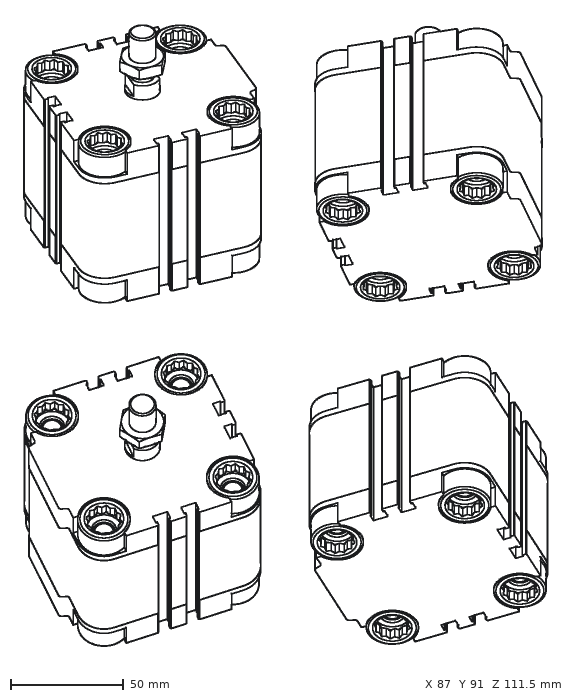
import cadquery as cq
import math


total_height = 111.5
housing_width = 87.0
housing_height = 80.1
corner_radius = 12.5
half_width = housing_width / 2

cap_height = 14.5
barrel_setback = 0.1

rail_height = 4.0
rail_base_width = 39.7
rail_top_width = 37.2
rail_edge_radius = 1.6
rail_root_radius = 1.1

slot_offset = 6.8
slot_opening = 5.6
slot_width = 7.0
slot_depth = 5.6
slot_lip = 2.0
slot_edge_chamfer = 0.5

boss_offset = half_width - corner_radius
boss_diameter = 23.4
boss_height = 11.4
boss_chamfer_width = 1.0
boss_chamfer_height = 0.8
notch_reach = 5.7

socket_tip_diameter = 16.0
socket_mouth_diameter = 17.6
socket_mouth_depth = 1.0
socket_star_depth = 5.8
socket_floor_diameter = 16.5
socket_depth = 8.1
socket_hexagons = 2
screw_hole_diameter = 8.4
counterbore_mouth_diameter = 11.0
counterbore_floor_diameter = 9.8
counterbore_depth = 1.1

rod_diameter = 16.0
rod_shoulder_z = 87.6
rod_flat_width = 12.5
rod_flat_z = 81.4
neck_diameter = 10.5
thread_diameter = 12.0
thread_start_z = 90.2
thread_chamfer = 0.8

nut_across_flats = 19.0
nut_chamfer_diameter = 18.8
nut_bottom_z = 92.4
nut_thickness = 6.0
nut_chamfer_angle = 20

hex_corner_ratio = 1 / math.cos(math.radians(30))


def frustum(bottom_diameter, top_diameter, height):
    """Truncated cone standing on the origin."""
    return cq.Workplane(cq.Solid.makeCone(bottom_diameter / 2, top_diameter / 2, height))


def make_profile():
    """Rounded square block with the raised rail along its +Y side."""
    block = (
        cq.Workplane("XY")
        .rect(housing_width, housing_width)
        .extrude(housing_height)
        .edges("|Z")
        .fillet(corner_radius)
    )
    rail_top = half_width + rail_height
    rail = (
        cq.Workplane("XY")
        .polyline(
            [
                (-rail_base_width / 2, 0),
                (-rail_base_width / 2, half_width),
                (-rail_top_width / 2, rail_top),
                (rail_top_width / 2, rail_top),
                (rail_base_width / 2, half_width),
                (rail_base_width / 2, 0),
            ]
        )
        .close()
        .extrude(housing_height)
    )
    rail = rail.edges("|Z and >Y").fillet(rail_edge_radius)
    profile = block.union(rail)
    for side in (-1, 1):
        root_point = (side * rail_base_width / 2, half_width, housing_height / 2)
        root = cq.selectors.NearestToPointSelector(root_point)
        profile = profile.edges("|Z").edges(root).fillet(rail_root_radius)
    return profile


def make_barrel_relief():
    """Cutter for the thin skin that sets the barrel back from the end caps."""
    profile = make_profile()
    barrel = cq.Workplane(profile.faces("<Z").val()).wires().toPending().offset2D(-barrel_setback)
    barrel = barrel.extrude(housing_height)
    middle = (
        cq.Workplane("XY", origin=(0, 0, cap_height))
        .rect(2 * housing_width, 2 * housing_width)
        .extrude(housing_height - 2 * cap_height)
    )
    return middle.cut(barrel)


def make_slot(center_x):
    """Cutter for one T-slot in the -Y side."""
    mouth = slot_opening / 2 + slot_edge_chamfer
    neck = slot_opening / 2
    base = slot_width / 2
    outer = -half_width
    lip = outer + slot_lip
    floor = outer + slot_depth
    right_half = [
        (mouth, outer),
        (neck, outer + slot_edge_chamfer),
        (neck, lip),
        (base, lip),
        (base, floor),
    ]
    left_half = [(-x, y) for x, y in reversed(right_half)]
    slot = cq.Workplane("XY").polyline(right_half + left_half).close().extrude(housing_height)
    return slot.translate((center_x, 0, 0))


def make_boss_relief():
    """Cutter that leaves a chamfered round boss at the top end of the (+X, +Y) corner."""
    reach = boss_diameter
    notch_size = notch_reach + reach
    notch_center = (notch_reach - reach) / 2
    block = (
        cq.Workplane("XY")
        .rect(notch_size, notch_size)
        .extrude(boss_height)
        .translate((-notch_center, -notch_center, 0))
    )
    bore = cq.Workplane("XY").circle(boss_diameter / 2).extrude(boss_height)
    quadrant = block.cut(bore)

    crown = cq.Workplane("XY").circle(boss_diameter / 2).extrude(boss_chamfer_height)
    crown = crown.cut(frustum(boss_diameter, boss_diameter - 2 * boss_chamfer_width, boss_chamfer_height))
    crown = crown.translate((0, 0, boss_height - boss_chamfer_height))

    relief = quadrant.union(crown)
    return relief.translate((boss_offset, boss_offset, housing_height - boss_height))


def make_socket():
    """Cutter for the twelve-point socket at the top end of the (+X, +Y) corner."""
    socket = (
        cq.Workplane("XY")
        .circle(socket_floor_diameter / 2)
        .extrude(socket_depth - socket_star_depth)
    )
    for i in range(socket_hexagons):
        hexagon = cq.Workplane("XY").polygon(6, socket_tip_diameter).extrude(socket_star_depth)
        hexagon = hexagon.translate((0, 0, socket_depth - socket_star_depth))
        socket = socket.union(hexagon.rotate((0, 0, 0), (0, 0, 1), i * 60 / socket_hexagons))

    valley_diameter = socket_tip_diameter * math.cos(math.radians(30)) / math.cos(math.radians(15))
    mouth = frustum(valley_diameter, socket_mouth_diameter, socket_mouth_depth)
    socket = socket.union(mouth.translate((0, 0, socket_depth - socket_mouth_depth)))

    counterbore = frustum(counterbore_floor_diameter, counterbore_mouth_diameter, counterbore_depth)
    socket = socket.union(counterbore.translate((0, 0, -counterbore_depth)))
    return socket.translate((boss_offset, boss_offset, housing_height - socket_depth))


def make_housing():
    """Housing with slots, corner bosses, sockets and through screw holes."""
    body = make_profile().cut(make_barrel_relief())

    for side_angle in (-90, 0, 90):
        for center_x in (-slot_offset, slot_offset):
            slot = make_slot(center_x)
            body = body.cut(slot.rotate((0, 0, 0), (0, 0, 1), side_angle))

    middle = (0, 0, housing_height / 2)
    for top_cutter in (make_boss_relief(), make_socket()):
        bottom_cutter = top_cutter.mirror("XY", middle)
        for corner in range(4):
            for cutter in (top_cutter, bottom_cutter):
                body = body.cut(cutter.rotate((0, 0, 0), (0, 0, 1), corner * 90))

    screw_holes = (
        cq.Workplane("XY")
        .rect(2 * boss_offset, 2 * boss_offset, forConstruction=True)
        .vertices()
        .circle(screw_hole_diameter / 2)
        .extrude(housing_height)
    )
    return body.cut(screw_holes)


def make_rod():
    """Rod shank with two wrench flats, a neck and a threaded end, standing on the housing."""
    neck_radius = neck_diameter / 2
    thread_radius = thread_diameter / 2
    rod = (
        cq.Workplane("XZ")
        .polyline(
            [
                (0, housing_height),
                (rod_diameter / 2, housing_height),
                (rod_diameter / 2, rod_shoulder_z),
                (neck_radius, rod_shoulder_z),
                (neck_radius, thread_start_z - thread_chamfer),
                (thread_radius, thread_start_z),
                (thread_radius, total_height - thread_chamfer),
                (thread_radius - thread_chamfer, total_height),
                (0, total_height),
            ]
        )
        .close()
        .revolve(360, (0, 0, 0), (0, 1, 0))
    )
    flat_height = rod_shoulder_z - rod_flat_z
    flats = (
        cq.Workplane("XY", origin=(0, 0, rod_flat_z))
        .rect(2 * rod_diameter, 2 * rod_diameter)
        .rect(2 * rod_diameter, rod_flat_width)
        .extrude(flat_height)
    )
    return rod.cut(flats)


def make_nut():
    """Hexagon nut with chamfered corners, pointing along Y, on the rod thread."""
    corner_diameter = nut_across_flats * hex_corner_ratio
    chamfer_width = (corner_diameter - nut_chamfer_diameter) / 2
    chamfer_height = chamfer_width * math.tan(math.radians(nut_chamfer_angle))
    hexagon = (
        cq.Workplane("XY")
        .polygon(6, corner_diameter)
        .extrude(nut_thickness)
        .rotate((0, 0, 0), (0, 0, 1), 30)
    )
    envelope = (
        cq.Workplane("XY")
        .circle(corner_diameter / 2)
        .extrude(nut_thickness)
        .faces("<Z or >Z")
        .chamfer(chamfer_height, chamfer_width)
    )
    bore = cq.Workplane("XY").circle(thread_diameter / 2).extrude(nut_thickness)
    return hexagon.intersect(envelope).cut(bore).translate((0, 0, nut_bottom_z))


housing = make_housing()
rod = make_rod()
nut = make_nut()

result = cq.Compound.makeCompound([housing.solids().val(), rod.solids().val(), nut.solids().val()])